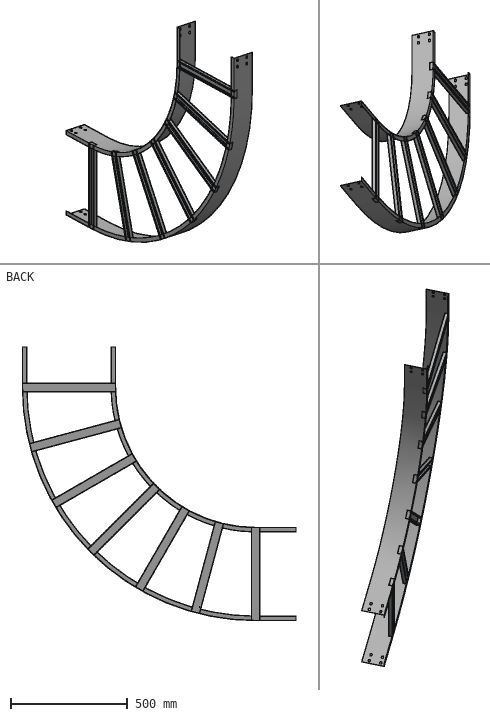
import cadquery as cq
import math

overall_size = 1173.0
leg_length = 174.0
rail_spacing = 400.0
rail_height = 100.0
rail_flange = 20.0
sheet = 1.5
fold_radius = 1.5

rung_count = 7
rung_width = 38.0
rung_depth = 16.0
rung_lip = 7.6

slot_length = 12.0
slot_width = 8.0
slot_end_distances = (14.0, 45.0)
slot_heights = (19.0, 69.0)

bend_angle = 90.0
outer_radius = overall_size - leg_length
inner_radius = outer_radius - rail_spacing
match_tolerance = 0.01


def rail_strip(small_radius, large_radius, depth):
    """Leg, quarter bend and leg between two radii, running back from the front face."""
    diagonal = math.sqrt(0.5)
    return (
        cq.Workplane("XZ")
        .moveTo(-leg_length, -large_radius)
        .lineTo(0, -large_radius)
        .threePointArc((large_radius * diagonal, -large_radius * diagonal), (large_radius, 0))
        .lineTo(large_radius, leg_length)
        .lineTo(small_radius, leg_length)
        .lineTo(small_radius, 0)
        .threePointArc((small_radius * diagonal, -small_radius * diagonal), (0, -small_radius))
        .lineTo(-leg_length, -small_radius)
        .close()
        .extrude(-depth)
    )


def round_fold(rail, web_radius):
    """Round the front edge that follows the web face at the given radius."""
    def lies_on_web(edge):
        ends = (edge.startPoint(), edge.endPoint())
        offsets = [max(end.x, -end.z) for end in ends]
        return all(abs(offset - web_radius) < match_tolerance for offset in offsets)

    fold_edges = rail.faces("<Y").edges().filter(lies_on_web)
    return fold_edges.fillet(fold_radius)


def inner_rail():
    web = rail_strip(inner_radius, inner_radius + sheet, rail_height)
    flange = rail_strip(inner_radius, inner_radius + rail_flange, sheet)
    return round_fold(web.union(flange), inner_radius)


def outer_rail():
    web = rail_strip(outer_radius - sheet, outer_radius, rail_height)
    flange = rail_strip(outer_radius - rail_flange, outer_radius, sheet)
    return round_fold(web.union(flange), outer_radius)


def rung(angle):
    """C-section with its lips against the flanges, reaching halfway into each web."""
    half_width = rung_width / 2
    inside = half_width - sheet
    slot_edge = half_width - rung_lip
    front = sheet
    back = front + rung_depth
    half_section = [
        (back, 0),
        (back, half_width),
        (front, half_width),
        (front, slot_edge),
        (front + sheet, slot_edge),
        (front + sheet, inside),
        (back - sheet, inside),
        (back - sheet, 0),
    ]
    mirrored_half = [(y, -z) for y, z in reversed(half_section[1:-1])]
    start = inner_radius + sheet / 2
    return (
        cq.Workplane("YZ", origin=(start, 0, 0))
        .polyline(half_section + mirrored_half)
        .close()
        .extrude(rail_spacing - sheet)
        .rotate((0, 0, 0), (0, 1, 0), angle)
    )


def leg_slots():
    """Slots through both webs: along Z at the lower-left leg, along X at the upper leg."""
    end_points = [(leg_length - d, h) for d in slot_end_distances for h in slot_heights]
    lower_leg = (
        cq.Workplane("XY")
        .pushPoints([(-along, height) for along, height in end_points])
        .slot2D(slot_length, slot_width)
        .extrude(-overall_size)
    )
    upper_leg = (
        cq.Workplane("YZ")
        .pushPoints([(height, along) for along, height in end_points])
        .slot2D(slot_length, slot_width, 90)
        .extrude(overall_size)
    )
    return lower_leg.union(upper_leg)


result = inner_rail().union(outer_rail())
for index in range(rung_count):
    result = result.union(rung(bend_angle * index / (rung_count - 1)))
result = result.cut(leg_slots())